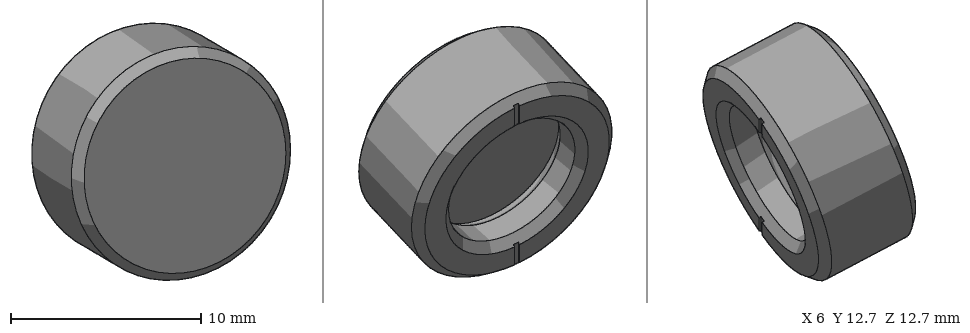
import cadquery as cq

outer_diameter = 12.7
thickness = 6.0
chamfer = 0.51

recess_diameter = 8.0
recess_depth = 1.9

undercut_depth = 0.57
undercut_reach = 0.3

slot_width = 0.3
slot_depth = 0.1


def make_body():
    """Disc from x = 0 to x = thickness with both rims chamfered."""
    disc = cq.Workplane("YZ").circle(outer_diameter / 2).extrude(thickness)
    return disc.faces("<X or >X").edges().chamfer(chamfer)


def make_recess():
    """Cutter for the recess, including the chamfer at its mouth and the undercut at its floor."""
    recess_radius = recess_diameter / 2
    undercut_radius = recess_radius + undercut_reach
    floor_depth = recess_depth + undercut_depth
    wall_radius = (undercut_depth**2 + undercut_reach**2) / (2 * undercut_reach)
    half_profile = (
        cq.Workplane("XY")
        .lineTo(0, recess_radius + chamfer)
        .lineTo(chamfer, recess_radius)
        .lineTo(recess_depth, recess_radius)
        .radiusArc((floor_depth, undercut_radius), wall_radius)
        .lineTo(floor_depth, 0)
        .close()
    )
    return half_profile.revolve(360, (0, 0, 0), (1, 0, 0))


def make_slot():
    """Cutter for the slot, long enough to cross the whole face."""
    return cq.Workplane("XY").box(
        slot_depth, slot_width, outer_diameter, centered=(False, True, True)
    )


result = make_body().cut(make_recess()).cut(make_slot())